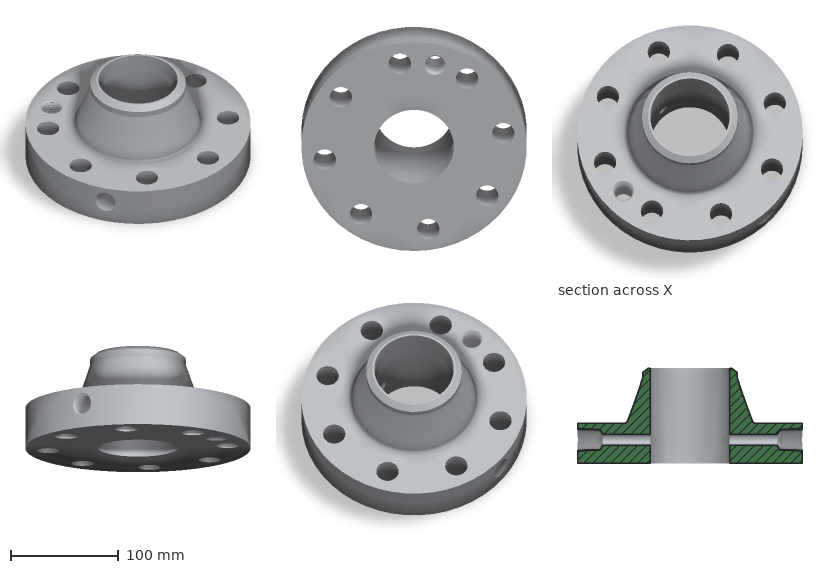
import cadquery as cq
import math

flange_radius = 104.8
flange_height = 38.0

total_height = 88.8
bore_radius = 36.9
weld_land_width = 1.9
weld_end_radius = 44.5
bevel_bottom_z = 84.7
cone_top_z = 79.0
cone_base_radius = 58.9
neck_fillet_radius = 3.1

bolt_count = 8
bolt_circle_radius = 84.0
bolt_hole_diameter = 20.7

jack_major_diameter = 20.0
jack_minor_diameter = 17.2
jack_pitch = 2.5

tap_z = 22.2
tap_major_radius = 10.5
tap_thread_height = 1.5
tap_pitch = 1.9
tap_thread_count = 11
tap_radius_taper = 1 / 32
tap_drill_diameter = 9.8
drill_point_half_angle = math.radians(59)


def make_body():
    """Revolve the flange and neck about the Z axis, then blend the neck foot."""
    body = (
        cq.Workplane("XZ")
        .moveTo(bore_radius, 0)
        .lineTo(flange_radius, 0)
        .lineTo(flange_radius, flange_height)
        .lineTo(cone_base_radius, flange_height)
        .lineTo(weld_end_radius, cone_top_z)
        .lineTo(weld_end_radius, bevel_bottom_z)
        .lineTo(bore_radius + weld_land_width, total_height)
        .lineTo(bore_radius, total_height)
        .close()
        .revolve(360, (0, 0, 0), (0, 1, 0))
    )
    flange_top = body.faces("|Z").faces(">Z[1]")
    neck_foot = flange_top.edges(cq.selectors.RadiusNthSelector(0))
    return neck_foot.fillet(neck_fillet_radius)


def thread_points(mouth_radius, thread_height, pitch, count, taper):
    """List (radius, depth) crests and roots of a ringed thread, from its mouth inwards."""
    points = [(mouth_radius, 0)]
    for turn in range(count):
        crest_depth = (turn + 0.5) * pitch
        root_depth = (turn + 1) * pitch
        points.append((mouth_radius - thread_height - taper * crest_depth, crest_depth))
        points.append((mouth_radius - taper * root_depth, root_depth))
    return points


def revolve_cutter(points):
    """Turn (radius, depth) points into a cutter whose mouth is at Z = 0, pointing to -Z."""
    outline = [(radius, -depth) for radius, depth in points]
    last_depth = outline[-1][1]
    return (
        cq.Workplane("XZ")
        .polyline([(0, 0)] + outline + [(0, last_depth)])
        .close()
        .revolve(360, (0, 0, 0), (0, 1, 0))
    )


def make_bolt_holes():
    """Drill cylinders for the full bolt circle."""
    return (
        cq.Workplane("XY")
        .polarArray(bolt_circle_radius, 180 / bolt_count, 360, bolt_count)
        .circle(bolt_hole_diameter / 2)
        .extrude(flange_height)
    )


def make_jack_hole():
    """Threaded cutter through the flange on the -X side."""
    turns = math.ceil(flange_height / jack_pitch)
    mouth_radius = jack_major_diameter / 2
    thread_height = mouth_radius - jack_minor_diameter / 2
    points = thread_points(mouth_radius, thread_height, jack_pitch, turns, 0)
    return revolve_cutter(points).translate((-bolt_circle_radius, 0, flange_height))


def make_pressure_tap():
    """Tapered thread, conical drill point and small hole into the bore, from the -Y rim."""
    points = thread_points(
        tap_major_radius, tap_thread_height, tap_pitch, tap_thread_count, tap_radius_taper
    )
    tap_drill_radius = tap_drill_diameter / 2
    end_radius, end_depth = points[-1]
    point_length = (end_radius - tap_drill_radius) / math.tan(drill_point_half_angle)
    points.append((tap_drill_radius, end_depth + point_length))
    points.append((tap_drill_radius, flange_radius))
    tap = revolve_cutter(points).rotate((0, 0, 0), (1, 0, 0), 90)
    return tap.translate((0, -flange_radius, tap_z))


pressure_tap = make_pressure_tap()
result = (
    make_body()
    .cut(make_bolt_holes())
    .cut(make_jack_hole())
    .cut(pressure_tap)
    .cut(pressure_tap.mirror("XZ"))
)